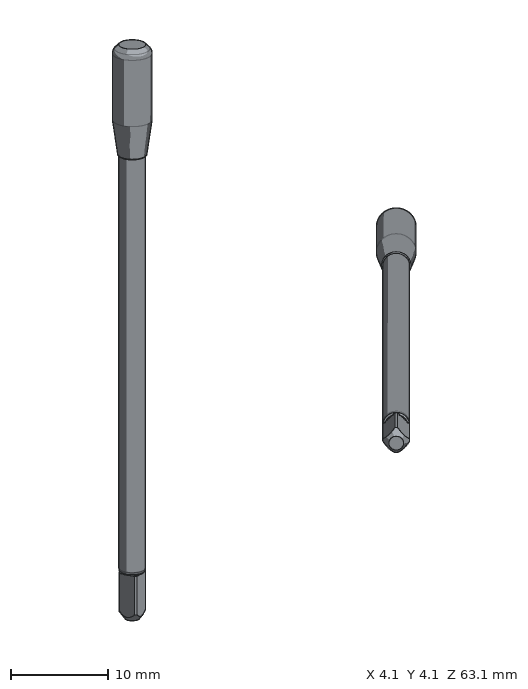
import cadquery as cq
import math

length = 63.1
handle_radius = 4.1 / 2
shaft_radius = 2.8 / 2

crown_flat_radius = 2.8 / 2
crown_blend_radius = 0.75
crown_angle = math.radians(45)
blend_drop = crown_blend_radius * math.sin(crown_angle)
blend_inset = crown_blend_radius * (1 - math.cos(crown_angle))
bevel_edge_radius = handle_radius - blend_inset
bevel_drop = (bevel_edge_radius - crown_flat_radius) * math.tan(crown_angle)

handle_bottom = 54.85
taper_bottom = 51.05
taper_end_radius = 1.5
taper_step_height = 0.1

shaft_bottom = 5.1
collar_top = 5.55
collar_radius = 2.7 / 2
collar_step_height = 0.1
collar_chamfer = 0.2
drive_corner_radius = shaft_radius
drive_width = 2.15
tip_cone_height = 0.45
tip_radius = 0.75


def make_body():
    """Revolve the handle, taper, shaft and collar about Z."""
    blend_top = length - bevel_drop
    blend_bottom = blend_top - blend_drop
    half_angle = crown_angle / 2
    crown_middle = (
        handle_radius - crown_blend_radius * (1 - math.cos(half_angle)),
        blend_bottom + crown_blend_radius * math.sin(half_angle),
    )
    return (
        cq.Workplane("XZ")
        .moveTo(0, length)
        .lineTo(crown_flat_radius, length)
        .lineTo(bevel_edge_radius, blend_top)
        .threePointArc(crown_middle, (handle_radius, blend_bottom))
        .lineTo(handle_radius, handle_bottom)
        .lineTo(taper_end_radius, taper_bottom)
        .lineTo(shaft_radius, taper_bottom - taper_step_height)
        .lineTo(shaft_radius, collar_top)
        .lineTo(collar_radius, collar_top - collar_step_height)
        .lineTo(collar_radius, shaft_bottom + collar_chamfer)
        .lineTo(collar_radius - collar_chamfer, shaft_bottom)
        .lineTo(0, shaft_bottom)
        .close()
        .revolve(360, (0, 0), (0, 1))
    )


def make_drive():
    """Square drive with round corners and a conical tip."""
    cone_slope = tip_cone_height / (drive_width / 2 - tip_radius)
    corner_height = cone_slope * (drive_corner_radius - tip_radius)
    turned = (
        cq.Workplane("XZ")
        .lineTo(tip_radius, 0)
        .lineTo(drive_corner_radius, corner_height)
        .lineTo(drive_corner_radius, shaft_bottom)
        .lineTo(0, shaft_bottom)
        .close()
        .revolve(360, (0, 0), (0, 1))
    )
    square = cq.Workplane("XY").rect(drive_width, drive_width).extrude(shaft_bottom)
    return turned.intersect(square)


result = make_body().union(make_drive())